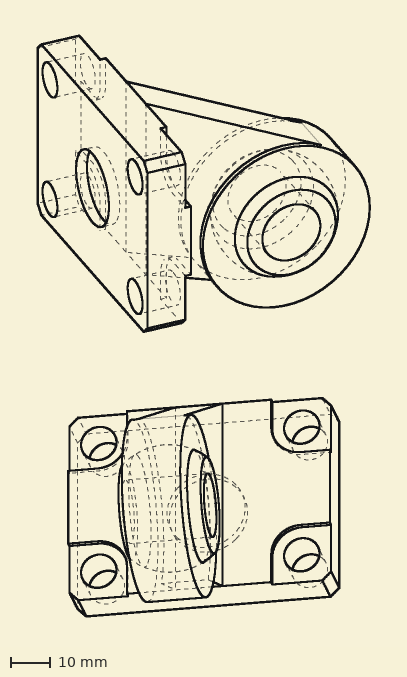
import cadquery as cq
import math

plate_width = 67.0
plate_height = 50.0
plate_thickness = 12.0
corner_chamfer = 2.25
hole_diameter = 9.05
hole_inset = 7.5
seat_depth = 1.5
recess_diameter = 20.0
recess_depth = 3.0

total_depth = 73.0
eye_radius = 23.0
eye_width = 15.0
eye_overhang = 17.5
eye_y = total_depth - eye_radius
eye_z = -plate_height / 2 - eye_overhang + eye_radius

web_width = 12.0
web_lower_angle = 30.0

ball_radius = 16.05
ball_width = 21.0
bore_diameter = 16.0


def cylinder_along_x(radius, length):
    """Cylinder on the eye axis, centred on x = 0."""
    return (
        cq.Workplane("YZ", origin=(-length / 2, eye_y, eye_z))
        .circle(radius)
        .extrude(length)
    )


def make_sphere():
    """Sphere that shapes both the ball and its socket, with its poles on the eye axis."""
    return (
        cq.Workplane("XY")
        .sphere(ball_radius)
        .rotate((0, 0, 0), (0, 1, 0), 90)
        .translate((0, eye_y, eye_z))
    )


def make_bolt_seat(side_x, side_z):
    """Square corner cut whose inner corner is rounded about the bolt hole."""
    seat_size = 2 * hole_inset
    return (
        cq.Workplane("XY")
        .box(seat_size, seat_depth, seat_size)
        .edges("|Y")
        .edges(cq.selectors.NearestToPointSelector((-side_x * hole_inset, 0, -side_z * hole_inset)))
        .fillet(hole_inset)
        .translate((
            side_x * (plate_width / 2 - hole_inset),
            plate_thickness - seat_depth / 2,
            side_z * (plate_height / 2 - hole_inset),
        ))
    )


def make_plate():
    """Chamfered plate with a centre recess, four bolt holes and a seat behind each."""
    plate = (
        cq.Workplane("XY")
        .box(plate_width, plate_thickness, plate_height)
        .translate((0, plate_thickness / 2, 0))
        .edges("|Y")
        .chamfer(corner_chamfer)
    )
    recess = cq.Workplane("XZ").circle(recess_diameter / 2).extrude(-recess_depth)
    bolt_holes = (
        cq.Workplane("XZ")
        .rect(plate_width - 2 * hole_inset, plate_height - 2 * hole_inset, forConstruction=True)
        .vertices()
        .circle(hole_diameter / 2)
        .extrude(-plate_thickness)
    )
    plate = plate.cut(recess).cut(bolt_holes)
    for side_x in (-1, 1):
        for side_z in (-1, 1):
            plate = plate.cut(make_bolt_seat(side_x, side_z))
    return plate


def eye_rim_point(angle):
    """Point (y, z) on the eye rim; the angle is in radians from +Y towards +Z."""
    return (eye_y + eye_radius * math.cos(angle), eye_z + eye_radius * math.sin(angle))


def make_web():
    """Tapering web whose upper edge is tangent to the eye."""
    rise = plate_height / 2 - eye_z
    run = plate_thickness - eye_y
    corner_direction = math.atan2(rise, run)
    tangent_angle = corner_direction - math.acos(eye_radius / math.hypot(run, rise))
    tangent_point = eye_rim_point(tangent_angle)
    lower_point = eye_rim_point(math.radians(180 + web_lower_angle))
    return (
        cq.Workplane("YZ", origin=(-web_width / 2, 0, 0))
        .polyline([
            (plate_thickness, plate_height / 2),
            tangent_point,
            (eye_y, eye_z),
            lower_point,
            (plate_thickness, -plate_height / 2),
        ])
        .close()
        .extrude(web_width)
    )


def make_housing():
    """Plate, web and eye as one body, hollowed by the spherical socket."""
    eye = cylinder_along_x(eye_radius, eye_width)
    return make_plate().union(make_web()).union(eye).cut(make_sphere())


def make_ball():
    """Sphere trimmed to flat ends and bored through."""
    envelope = cylinder_along_x(ball_radius, ball_width)
    bore = cylinder_along_x(bore_diameter / 2, ball_width)
    return make_sphere().intersect(envelope).cut(bore)


housing = make_housing()
ball = make_ball()
result = cq.Compound.makeCompound([housing.val(), ball.val()])